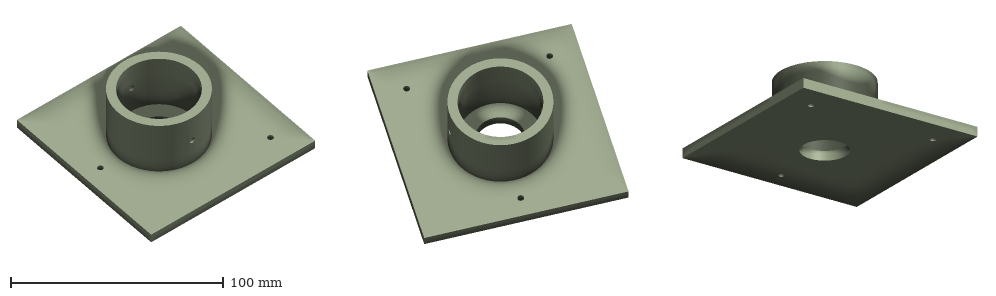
import cadquery as cq

plate_side = 100.0
plate_thickness = 5.0

tube_outer_diameter = 50.0
tube_bore_diameter = 40.5
tube_height = 30.0
tube_offset_y = -4.3

plate_opening_diameter = 24.0
small_hole_diameter = 3.2
mounting_hole_positions = [(-35.0, 35.0), (35.0, 35.0), (0.0, -40.0)]
cross_hole_z = plate_thickness + tube_height / 2


def cylinder(diameter, height, x, y, z):
    """Vertical cylinder whose base is centred at (x, y, z)."""
    return cq.Workplane("XY", origin=(x, y, z)).circle(diameter / 2).extrude(height)


plate = cq.Workplane("XY").box(plate_side, plate_side, plate_thickness, centered=(True, True, False))
result = plate.union(cylinder(tube_outer_diameter, tube_height, 0, tube_offset_y, plate_thickness))

result = result.cut(cylinder(tube_bore_diameter, tube_height, 0, tube_offset_y, plate_thickness))
result = result.cut(cylinder(plate_opening_diameter, plate_thickness, 0, tube_offset_y, 0))

for hole_x, hole_y in mounting_hole_positions:
    result = result.cut(cylinder(small_hole_diameter, plate_thickness, hole_x, hole_y, 0))

cross_hole = (
    cq.Workplane("YZ", origin=(0, tube_offset_y, cross_hole_z))
    .circle(small_hole_diameter / 2)
    .extrude(tube_outer_diameter / 2, both=True)
)
result = result.cut(cross_hole)